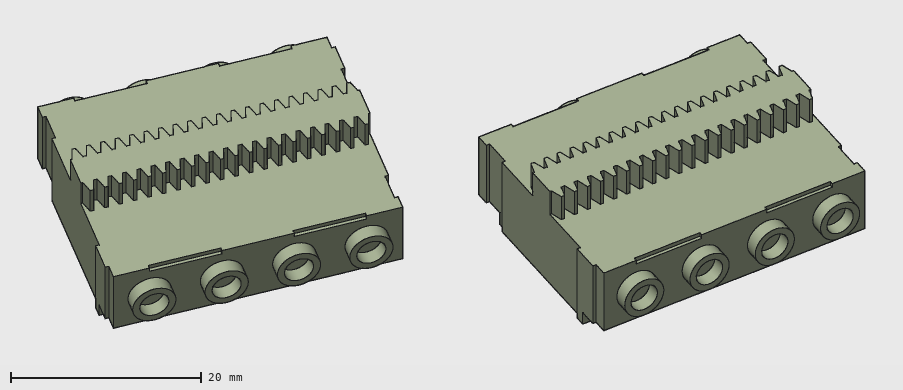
import cadquery as cq

total_length = 32.8
total_width = 28.8
total_height = 12.8

pin_count = 4
pin_diameter = 4.8
pin_bore_diameter = 3.2
pin_length = 1.6

key_depth = 0.4
key_width = 3.2
key_offset = 9.6

body_length = total_length - 2 * key_depth
body_width = total_width - 2 * pin_length
rack_height = 3.18
body_top = total_height - rack_height
base_height = 1.6
base_width = 18.3
pin_pitch = body_length / pin_count
pin_center_height = (base_height + body_top) / 2

notch_depth = 0.4
notch_height = 0.5
notch_length = pin_pitch

tooth_count = 20
tooth_pitch = body_length / tooth_count
rack_tip_width = 6.23
rack_root_width = 3.55
tooth_tip_length = 0.4
tooth_root_length = 0.43


def block(width, length, bottom, top, x=0.0, y=0.0):
    """Box centred on (x, y) and reaching from bottom to top."""
    return (
        cq.Workplane("XY", origin=(x, y, bottom))
        .rect(width, length)
        .extrude(top - bottom)
    )


def stepped_body():
    """Wide upper body on a narrower base, with a key and a recess on each end face."""
    body = block(body_width, body_length, 0, body_top)
    for end in (-1, 1):
        end_y = end * body_length / 2
        key_x = -end * key_offset
        body = body.union(block(key_width, 2 * key_depth, 0, body_top, key_x, end_y))
        body = body.cut(block(key_width, 2 * key_depth, 0, body_top, -key_x, end_y))

    side_width = (body_width - base_width) / 2
    side_x = (body_width + base_width) / 4
    for side in (-1, 1):
        body = body.cut(block(side_width, total_length, 0, base_height, side * side_x))
    return body


def edge_notches():
    """Two notches on each upper long edge."""
    notches = cq.Workplane("XY")
    for side in (-1, 1):
        for y in (-pin_pitch, pin_pitch):
            x = side * body_width / 2
            bottom = body_top - notch_height
            notches = notches.add(block(2 * notch_depth, notch_length, bottom, body_top, x, y))
    return notches.combine()


def hollow_pins():
    """Rows of tubular pins; each bore ends at the face of the body."""
    pins = cq.Workplane("XY")
    for side in (-1, 1):
        face = cq.Plane(
            origin=(side * body_width / 2, 0, pin_center_height),
            xDir=(0, 1, 0),
            normal=(side, 0, 0),
        )
        row = (
            cq.Workplane(face)
            .rarray(pin_pitch, 0.33, pin_count, 1)
            .circle(pin_diameter / 2)
            .circle(pin_bore_diameter / 2)
            .extrude(pin_length)
        )
        pins = pins.add(row)
    return pins.combine()


def double_rack():
    """Straight rack with mirrored trapezoidal teeth on both sides."""
    half_root = rack_root_width / 2
    half_tip = rack_tip_width / 2
    root_reach = (tooth_pitch - tooth_root_length) / 2
    tip_reach = tooth_tip_length / 2

    right_side = [(half_root, -body_length / 2)]
    for index in range(tooth_count):
        y = (index + 0.5) * tooth_pitch - body_length / 2
        right_side += [
            (half_root, y - root_reach),
            (half_tip, y - tip_reach),
            (half_tip, y + tip_reach),
            (half_root, y + root_reach),
        ]
    right_side.append((half_root, body_length / 2))
    left_side = [(-x, y) for x, y in reversed(right_side)]

    return (
        cq.Workplane("XY", origin=(0, 0, body_top))
        .polyline(right_side + left_side)
        .close()
        .extrude(rack_height)
    )


result = (
    stepped_body()
    .cut(edge_notches())
    .union(hollow_pins())
    .union(double_rack())
)